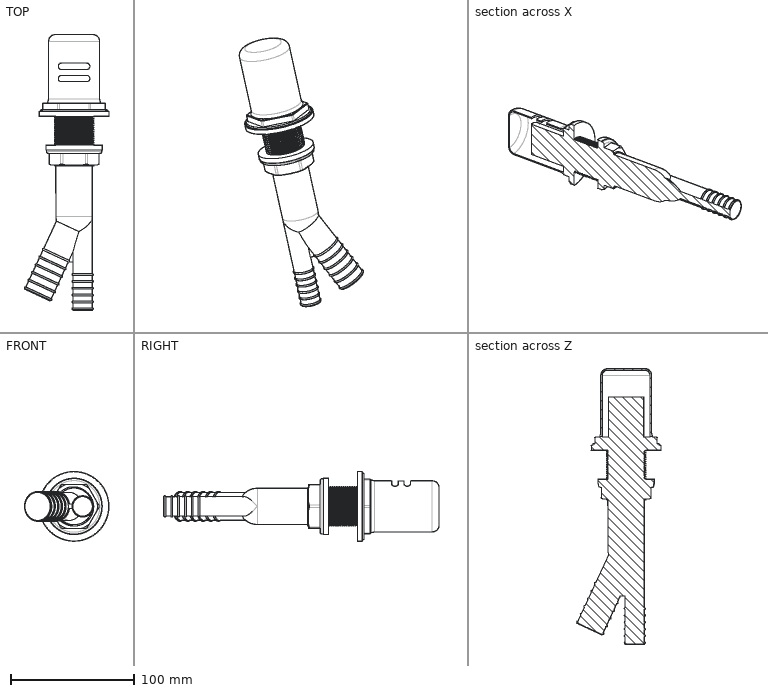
import cadquery as cq
import math


flange_radius = 28.32
flange_height = 4.4
flange_chamfer = 0.6
collar_height = 1.1
collar_bottom_radius = 27.2
collar_top_radius = 26.7
seat_hex_flats = 44.4
seat_hex_height = 5.5
seat_hex_corner_radius = 1.5
seat_hex_face_chamfer = 0.6
seat_hex_y = flange_height + collar_height
seat_y = seat_hex_y + seat_hex_height

cap_radius = 20.8
cap_height = 55.4
cap_wall = 1.5
cap_top_round = 5.7
cap_rim_height = 3.1
cap_rim_flare = 0.7
cap_top_y = seat_y + cap_height
slot_length = 25.6
slot_width = 5.1
slot_pitch = 9.9
upper_slot_depth = 25.9

core_radius = 14.4
core_top_clearance = 23.0

pipe_radius = 14.85
pipe_length = 81.0
thread_radius = 16.0
thread_pitch = 1.754
thread_length = 40.4
thread_phase = 0.86
thread_root_sink = 0.2
thread_foot_share = 0.9
thread_crest_share = 0.2

washer_y = -23.3
washer_radius = 22.9
washer_height = 4.1
nut_flange_radius = 22.5
nut_flange_height = 2.7
nut_flange_round = 1.6
nut_hex_flats = 35.7
nut_hex_height = 9.4
nut_hex_corner_radius = 2.0
nut_face_radius = 18.9
nut_face_angle = 30
nut_flange_y = washer_y - washer_height
nut_hex_y = nut_flange_y - nut_flange_height
nut_end_y = nut_hex_y - nut_hex_height

bead_radius = 0.75
bead_count = 6
straight_radius = 7.9
straight_length = 76.18
straight_bead_pitch = 5.53
straight_x = pipe_radius - straight_radius
branch_radius = 11.4
branch_tilt = 24.9
branch_length = 70.4
branch_bead_pitch = 6.87
end_bead_inset = 1.3
web_thickness = 3.5
web_length = 37.1


def cylinder(radius, y_top, y_bottom):
    """Cylinder about the main axis."""
    return cq.Workplane("XZ", origin=(0, y_top, 0)).circle(radius).extrude(y_top - y_bottom)


def hexagon(flats, corner_radius, y_top, y_bottom):
    """Hexagonal prism about the main axis, with rounded corners on the X axis."""
    corner_distance = flats / math.cos(math.pi / 6)
    prism = cq.Workplane("XZ", origin=(0, y_top, 0)).polygon(6, corner_distance).extrude(y_top - y_bottom)
    return prism.edges("|Y").fillet(corner_radius)


def make_cap():
    outer = (
        cq.Workplane("XY")
        .moveTo(0, seat_y)
        .lineTo(cap_radius + cap_rim_flare, seat_y)
        .lineTo(cap_radius, seat_y + cap_rim_height)
        .lineTo(cap_radius, cap_top_y - cap_top_round)
        .radiusArc((cap_radius - cap_top_round, cap_top_y), -cap_top_round)
        .lineTo(0, cap_top_y)
        .close()
        .revolve(360, (0, 0, 0), (0, 1, 0))
    )
    cavity = cylinder(cap_radius - cap_wall, cap_top_y - cap_wall, seat_y)
    cavity = cavity.faces(">Y").edges().fillet(cap_top_round - cap_wall)
    upper_slot_y = cap_top_y - upper_slot_depth
    slots = (
        cq.Workplane("XY")
        .pushPoints([(0, upper_slot_y), (0, upper_slot_y - slot_pitch)])
        .slot2D(slot_length, slot_width)
        .extrude(cap_radius + cap_rim_flare)
    )
    return outer.cut(cavity).cut(slots)


def make_deck_flange():
    disc = cylinder(flange_radius, flange_height, 0).faces(">Y").edges().chamfer(flange_chamfer)
    collar = (
        cq.Workplane("XY")
        .moveTo(0, flange_height)
        .lineTo(collar_bottom_radius, flange_height)
        .lineTo(collar_top_radius, seat_hex_y)
        .lineTo(0, seat_hex_y)
        .close()
        .revolve(360, (0, 0, 0), (0, 1, 0))
    )
    seat = hexagon(seat_hex_flats, seat_hex_corner_radius, seat_y, seat_hex_y)
    seat = seat.faces(">Y").edges().chamfer(seat_hex_face_chamfer)
    return disc.union(collar).union(seat)


def make_nut():
    washer = cylinder(washer_radius, washer_y, nut_flange_y)
    nut_flange = cylinder(nut_flange_radius, nut_flange_y, nut_hex_y)
    nut_flange = nut_flange.faces("<Y").edges().fillet(nut_flange_round)
    hex_part = hexagon(nut_hex_flats, nut_hex_corner_radius, nut_hex_y, nut_end_y)
    cone_rise = (nut_flange_radius - nut_face_radius) * math.tan(math.radians(nut_face_angle))
    corner_cone = (
        cq.Workplane("XY")
        .moveTo(0, nut_end_y)
        .lineTo(nut_face_radius, nut_end_y)
        .lineTo(nut_flange_radius, nut_end_y + cone_rise)
        .lineTo(nut_flange_radius, nut_hex_y)
        .lineTo(0, nut_hex_y)
        .close()
        .revolve(360, (0, 0, 0), (0, 1, 0))
    )
    hex_part = hex_part.intersect(corner_cone)
    return washer.union(nut_flange).union(hex_part)


def make_thread():
    """Right-handed helical ridge around the pipe, trimmed square at the thread end."""
    first_groove = cap_top_y - thread_phase
    turns_above = math.floor(first_groove / thread_pitch)
    start_y = first_groove - turns_above * thread_pitch + thread_pitch / 2
    helix_height = thread_length + 3 * thread_pitch
    root_radius = pipe_radius - thread_root_sink
    half_foot = thread_pitch * thread_foot_share / 2
    half_crest = thread_pitch * thread_crest_share / 2
    ridge_outline = [
        (root_radius, -half_foot),
        (thread_radius, -half_crest),
        (thread_radius, half_crest),
        (root_radius, half_foot),
    ]
    path = cq.Wire.makeHelix(thread_pitch, helix_height, root_radius)
    ridge = (
        cq.Workplane("XZ")
        .polyline(ridge_outline)
        .close()
        .sweep(cq.Workplane(path), isFrenet=True)
        .rotate((0, 0, 0), (1, 0, 0), 90)
        .translate((0, start_y, 0))
    )
    return ridge.intersect(cylinder(flange_radius, flange_height / 2, -thread_length))


def make_tail(radius, length, bead_pitch):
    """Hose tail from the origin along -Y, ringed by half-round beads near its end."""
    tail = cylinder(radius, 0, -length)
    for i in range(bead_count):
        bead_y = -length + end_bead_inset + i * bead_pitch
        bead = (
            cq.Workplane("XY")
            .center(radius, bead_y)
            .circle(bead_radius)
            .revolve(360, (-radius, 0, 0), (-radius, 1, 0))
        )
        tail = tail.union(bead)
    return tail


def make_web():
    """Flat web that fills the crook between the two tails."""
    branch_x = -web_length * math.tan(math.radians(branch_tilt))
    return (
        cq.Workplane("XY")
        .polyline([(0, 0), (straight_x, 0), (straight_x, -web_length), (branch_x, -web_length)])
        .close()
        .extrude(web_thickness / 2, both=True)
    )


def make_tails():
    straight = make_tail(straight_radius, straight_length, straight_bead_pitch)
    branch = make_tail(branch_radius, branch_length, branch_bead_pitch)
    branch = branch.rotate((0, 0, 0), (0, 0, 1), -branch_tilt)
    tails = straight.translate((straight_x, 0, 0)).union(branch).union(make_web())
    return tails.translate((0, -pipe_length, 0))


def make_pipe():
    """Pipe with a half-ball at its lower end."""
    return (
        cq.Workplane("XY")
        .moveTo(0, flange_height)
        .lineTo(pipe_radius, flange_height)
        .lineTo(pipe_radius, -pipe_length)
        .radiusArc((0, -pipe_length - pipe_radius), pipe_radius)
        .close()
        .revolve(360, (0, 0, 0), (0, 1, 0))
    )


def make_body():
    core = cylinder(core_radius, cap_top_y - core_top_clearance, 0)
    body = make_pipe().union(make_thread())
    for piece in (make_deck_flange(), make_nut(), core, make_tails()):
        body = body.union(piece)
    return body


cap = make_cap()
body = make_body()
result = cq.Compound.makeCompound([cap.solids().val(), body.solids().val()])